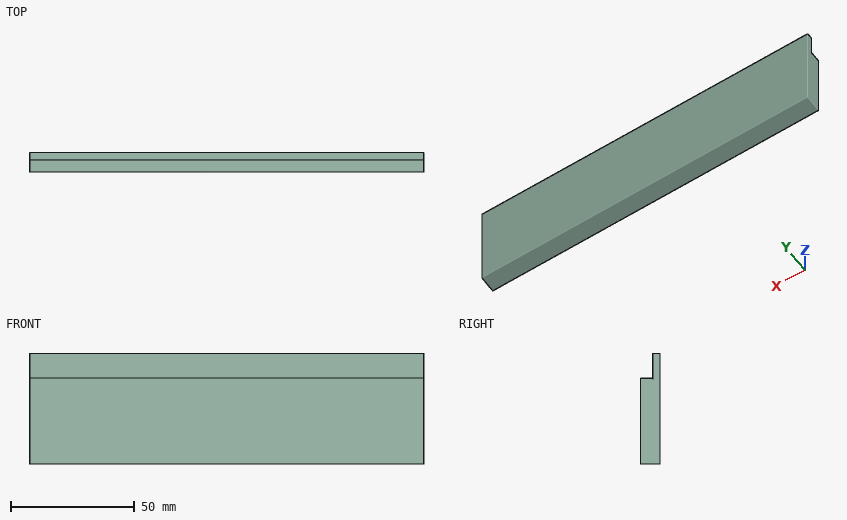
import cadquery as cq

length = 160.0
thickness = 8.0
height = 45.0

lip_height = 10.0
lip_thickness = 3.0

edge_radius = 0.3

back = thickness / 2
front = -back
top = height / 2
bottom = -top
lip_front = back - lip_thickness
step_top = top - lip_height


def stepped_bar():
    """Panel with a lip at its top back, extruded along X."""
    section = [
        (front, bottom),
        (back, bottom),
        (back, top),
        (lip_front, top),
        (lip_front, step_top),
        (front, step_top),
    ]
    return cq.Workplane("YZ").polyline(section).close().extrude(length / 2, both=True)


def is_outer_edge(edge):
    """True for every edge except the inside corner at the foot of the lip."""
    center = edge.Center()
    tolerance = edge_radius / 10
    at_lip_front = abs(center.y - lip_front) < tolerance
    at_step_top = abs(center.z - step_top) < tolerance
    return not (at_lip_front and at_step_top)


result = stepped_bar().edges().filter(is_outer_edge).fillet(edge_radius)